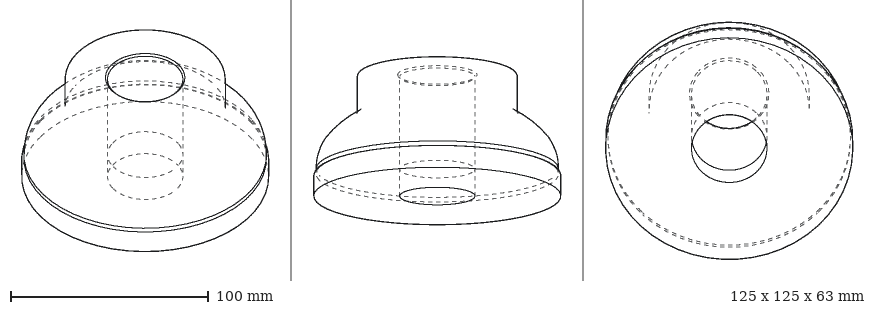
import cadquery as cq
import math

base_diameter = 125.0
total_height = 63.0
bore_diameter = 38.1
bore_chamfer = 1.0

flange_height = 11.6
base_height = 14.0

bell_diameter = 122.6
bell_straight_top = 14.9
shoulder_diameter = 114.1
shoulder_height = 28.4
crown_radius = 50.0
neck_diameter = 81.0
neck_edge_fillet = 1.0
neck_fillet_radius = 3.0
neck_fillet_top = 43.8
neck_fillet_angle = math.radians(57.6)

bore_radius = bore_diameter / 2
bell_radius = bell_diameter / 2
neck_radius = neck_diameter / 2
rim_fillet = base_diameter / 2 - bell_radius


def neck_fillet_point(angle):
    """Point (radius, height) on the neck fillet after turning by the given angle."""
    return (
        neck_radius + neck_fillet_radius * (1 - math.cos(angle)),
        neck_fillet_top - neck_fillet_radius * math.sin(angle),
    )


def make_base_ring():
    """Flanged ring under the hub, with a rounded rim and a short collar flush with the bell."""
    outer_radius = base_diameter / 2
    return (
        cq.Workplane("XZ")
        .moveTo(bore_radius, 0)
        .lineTo(outer_radius, 0)
        .lineTo(outer_radius, flange_height - rim_fillet)
        .tangentArcPoint((bell_radius, flange_height), relative=False)
        .lineTo(bell_radius, base_height)
        .lineTo(bore_radius, base_height)
        .close()
        .revolve(360, (0, 0, 0), (0, 1, 0))
    )


def make_hub():
    """Bell and neck standing on the base ring, with a chamfered bore."""
    return (
        cq.Workplane("XZ")
        .moveTo(bore_radius, base_height)
        .lineTo(bell_radius, base_height)
        .lineTo(bell_radius, bell_straight_top)
        .tangentArcPoint((shoulder_diameter / 2, shoulder_height), relative=False)
        .radiusArc(neck_fillet_point(neck_fillet_angle), -crown_radius)
        .threePointArc(neck_fillet_point(neck_fillet_angle / 2), neck_fillet_point(0))
        .lineTo(neck_radius, total_height - neck_edge_fillet)
        .tangentArcPoint((neck_radius - neck_edge_fillet, total_height), relative=False)
        .lineTo(bore_radius + bore_chamfer, total_height)
        .lineTo(bore_radius, total_height - bore_chamfer)
        .close()
        .revolve(360, (0, 0, 0), (0, 1, 0))
    )


base_ring = make_base_ring()
hub = make_hub()

result = cq.Compound.makeCompound([base_ring.val(), hub.val()])